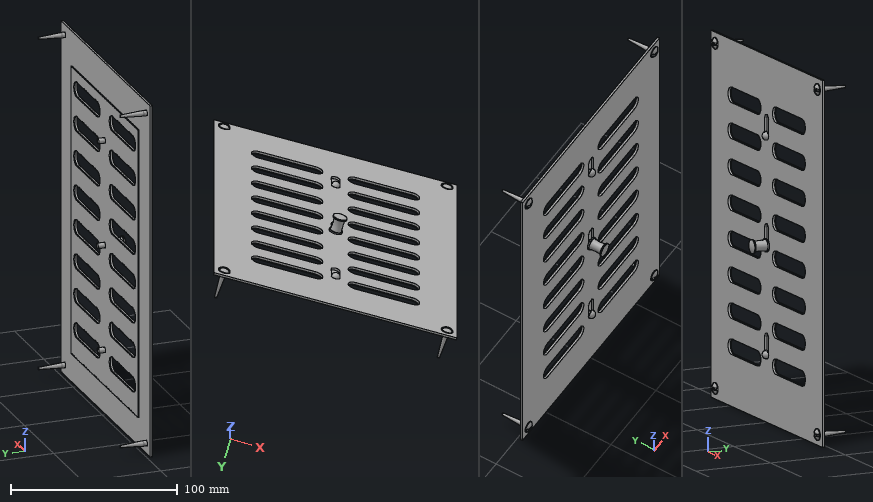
import cadquery as cq
import math


PLATE_WIDTH = 152.5
PLATE_HEIGHT = 226.5
PLATE_THICKNESS = 1.5

VENT_LENGTH = 44.6
VENT_HEIGHT = 9.5
VENT_PITCH = 22.2
VENT_ROWS = 8
VENT_COLUMN_X = 30.4
PATTERN_Z = 1.4

GUIDE_WIDTH = 5.2
GUIDE_LENGTH = 15.9
GUIDE_PITCH = 67.5
UPRIGHT = 90

SLIDER_WIDTH = 114.6
SLIDER_HEIGHT = 185.3
SLIDER_Z = -1.8
SLIDER_THICKNESS = 0.7

PIN_RADIUS = 1.7
PIN_DROP = 5.2
RIVET_HEAD_RADIUS = 2.7
RIVET_BACK = 6.3
KNOB_BACK = 6.8
KNOB_LENGTH = 11.0
KNOB_DOME = 1.1
KNOB_CAP_RADIUS = 4.3
KNOB_CAP_THICKNESS = 1.0
KNOB_BODY_RADIUS = 3.6
KNOB_WAIST_RADIUS = 3.2
KNOB_FLANGE_RADIUS = 4.0
KNOB_FLANGE_THICKNESS = 1.0

SCREW_INSET_X = 6.3
SCREW_INSET_Z = 6.8
SCREW_TIP = 18.4
SCREW_TIP_RADIUS = 0.8
SCREW_RADIUS = 1.7
SCREW_NECK = 2.3
SCREW_HEAD_RADIUS = 3.6
SCREW_RIM_HEIGHT = 0.5
SCREW_DOME = 1.5
DRIVE_WIDTH = 1.5
DRIVE_DEPTH = 1.8

SLIDER_BACK = PLATE_THICKNESS + SLIDER_THICKNESS
VENT_ROW_HEIGHTS = [PATTERN_Z + (row - (VENT_ROWS - 1) / 2) * VENT_PITCH for row in range(VENT_ROWS)]
VENT_CENTRES = [(x, z) for x in (-VENT_COLUMN_X, VENT_COLUMN_X) for z in VENT_ROW_HEIGHTS]
GUIDE_CENTRES = [(0, PATTERN_Z + step * GUIDE_PITCH) for step in (-1, 0, 1)]
PIN_CENTRES = [(x, z - PIN_DROP) for x, z in GUIDE_CENTRES]
LOWER_RIVET, KNOB_CENTRE, UPPER_RIVET = PIN_CENTRES
SCREW_X = PLATE_WIDTH / 2 - SCREW_INSET_X
SCREW_Z = PLATE_HEIGHT / 2 - SCREW_INSET_Z
SCREW_CENTRES = [(x, z) for x in (-SCREW_X, SCREW_X) for z in (-SCREW_Z, SCREW_Z)]


def front_plane(y):
    """XZ work plane at depth y; positive extrusion runs towards the back (+Y)."""
    return cq.Workplane(cq.Plane(origin=(0, y, 0), xDir=(1, 0, 0), normal=(0, -1, 0)))


def sheet(width, height, front, thickness, centre_z=0):
    return front_plane(front).center(0, centre_z).rect(width, height).extrude(-thickness)


def slots(centres, length, width, angle=0):
    return front_plane(0).pushPoints(centres).slot2D(length, width, angle).extrude(-SLIDER_BACK)


def round_holes(centres, radius):
    return front_plane(0).pushPoints(centres).circle(radius).extrude(-SLIDER_BACK)


def revolve_about_y(profile):
    return profile.close().revolve(360, (0, 0, 0), (0, 1, 0))


def place(body, centre):
    x, z = centre
    return body.translate((x, 0, z))


def make_plate():
    plate = sheet(PLATE_WIDTH, PLATE_HEIGHT, 0, PLATE_THICKNESS)
    plate = plate.cut(slots(VENT_CENTRES, VENT_LENGTH, VENT_HEIGHT))
    plate = plate.cut(slots(GUIDE_CENTRES, GUIDE_LENGTH, GUIDE_WIDTH, UPRIGHT))
    return plate.cut(round_holes(SCREW_CENTRES, SCREW_RADIUS))


def make_slider():
    slider = sheet(SLIDER_WIDTH, SLIDER_HEIGHT, PLATE_THICKNESS, SLIDER_THICKNESS, SLIDER_Z)
    slider = slider.cut(slots(VENT_CENTRES, VENT_LENGTH, VENT_HEIGHT))
    return slider.cut(round_holes(PIN_CENTRES, PIN_RADIUS))


def dome_profile(apex_y, rise, radius):
    """Start a half profile at the apex of a spherical cap and follow the cap out to its rim."""
    sphere_radius = (radius**2 + rise**2) / (2 * rise)
    half_angle = math.asin(radius / sphere_radius) / 2
    middle_x = sphere_radius * math.sin(half_angle)
    middle_y = apex_y + sphere_radius * (1 - math.cos(half_angle))
    return (
        cq.Workplane("XY")
        .moveTo(0, apex_y)
        .threePointArc((middle_x, middle_y), (radius, apex_y + rise))
    )


def make_knob():
    cap_back = -KNOB_LENGTH + KNOB_DOME + KNOB_CAP_THICKNESS
    waist_y = (cap_back - KNOB_FLANGE_THICKNESS) / 2
    profile = (
        dome_profile(-KNOB_LENGTH, KNOB_DOME, KNOB_CAP_RADIUS)
        .lineTo(KNOB_CAP_RADIUS, cap_back)
        .lineTo(KNOB_BODY_RADIUS, cap_back)
        .threePointArc((KNOB_WAIST_RADIUS, waist_y), (KNOB_BODY_RADIUS, -KNOB_FLANGE_THICKNESS))
        .lineTo(KNOB_FLANGE_RADIUS, -KNOB_FLANGE_THICKNESS)
        .lineTo(KNOB_FLANGE_RADIUS, 0)
        .lineTo(PIN_RADIUS, 0)
        .lineTo(PIN_RADIUS, KNOB_BACK)
        .lineTo(0, KNOB_BACK)
    )
    return revolve_about_y(profile)


def make_rivet():
    profile = (
        dome_profile(-RIVET_HEAD_RADIUS, RIVET_HEAD_RADIUS, RIVET_HEAD_RADIUS)
        .lineTo(PIN_RADIUS, 0)
        .lineTo(PIN_RADIUS, RIVET_BACK)
        .lineTo(0, RIVET_BACK)
    )
    return revolve_about_y(profile)


def make_screw():
    head_height = SCREW_RIM_HEIGHT + SCREW_DOME
    profile = (
        dome_profile(-head_height, SCREW_DOME, SCREW_HEAD_RADIUS)
        .lineTo(SCREW_HEAD_RADIUS, 0)
        .lineTo(SCREW_RADIUS, 0)
        .lineTo(SCREW_RADIUS, PLATE_THICKNESS + SCREW_NECK)
        .lineTo(SCREW_TIP_RADIUS, SCREW_TIP)
        .lineTo(0, SCREW_TIP)
    )
    drive_slot = sheet(2 * SCREW_HEAD_RADIUS, DRIVE_WIDTH, -head_height, DRIVE_DEPTH)
    return revolve_about_y(profile).cut(drive_slot)


plate = make_plate()
slider = make_slider()
knob = place(make_knob(), KNOB_CENTRE)
rivets = [place(make_rivet(), centre) for centre in (LOWER_RIVET, UPPER_RIVET)]
screws = [place(make_screw(), centre) for centre in SCREW_CENTRES]

result = cq.Compound.makeCompound(
    [body.val() for body in (plate, slider, knob, *rivets, *screws)]
)